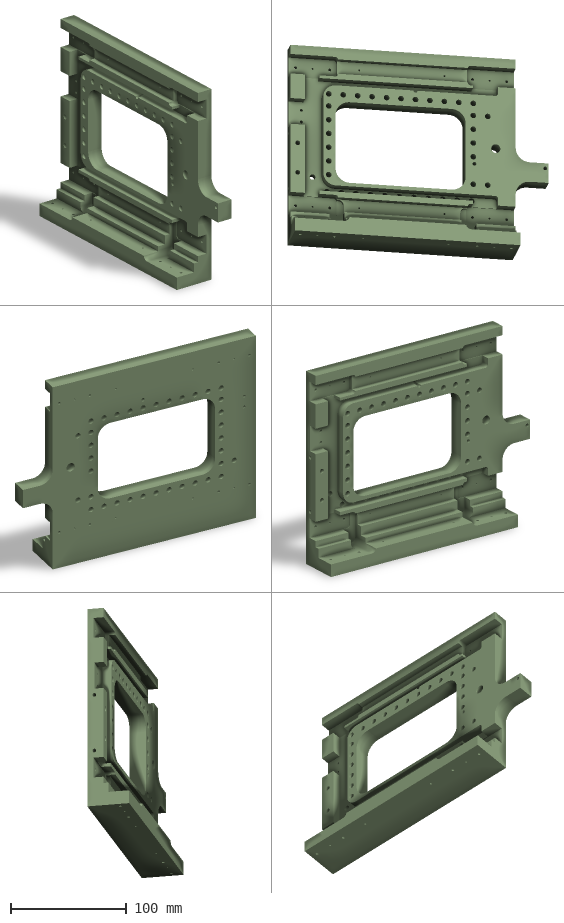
import cadquery as cq
import math


overall_length = 227.0
plate_length = 198.0
plate_height = 180.0
overall_depth = 37.25
plate_thickness = 14.5
plate_front = overall_depth - plate_thickness
middle_x = plate_length / 2

tab_bottom = 68.0
tab_top = 86.0
tab_corner_radius = 12.5

flange_thickness = 15.5
step_top = 20.25
step_front = 15.5

rail_spacing = 127.5
lower_rail_z = 35.0
rail_heights = (lower_rail_z, lower_rail_z + rail_spacing)
groove_rise = 0.25
frame_middle_z = 99.0
groove_width = 13.25
groove_depth = 5.25
pad_width = 18.0
pad_depth = 9.0
pad_length = 42.0
pad_corner_radius = 2.5
pad_step = pad_depth - groove_depth

flange_pad_top = flange_thickness - pad_step
flange_pad_back = 18.5
flange_hole_y = flange_pad_back / 2

slot_inner_edge = 47.75
slot_width = 13.25
slot_depth = 8.25
slot_top = 41.5
slot_radius = 4.5

pad_hole_offsets = (62.75, 92.75)
small_hole_offsets = (37.5, 77.75)
pad_hole_diameter = 2.5
small_hole_diameter = 1.6

recess_depth = 8.25
recess_half_height = rail_spacing / 2
recess_right = 182.5
recess_corner_radius = 2.5
frame_left = 29.0
frame_half_height = 46.25
frame_corner_radius = 11.0
strip_left = 25.75
strip_right = 160.5
strip_half_height = 52.0
block_width = 13.0
block_gap_bottom = 107.0
block_gap_top = 130.75

window_left = 39.75
window_right = 154.0
window_bottom = 56.0
window_top = 130.5
window_radius = 12.5

pitch = 12.7
grid_x = 33.75
grid_z = 49.6
columns = 11
top_row_z = 137.0
grid_diameter = 5.0
left_column_rows = (1, 2, 3, 4, 5, 6)
right_column_rows = (1, 3, 4, 5, 6)
extra_positions = ((-1, 1), (columns, 1), (columns, 6))

notch_column = 6
notch_hole = (grid_x + notch_column * pitch, 145.0)
notch_hole_diameter = 3.3
large_hole = (180.5, 96.5)
large_hole_diameter = 8.0
gap_holes = ((11.25, 112.5), (11.25, 123.25))
gap_hole_diameter = 2.5

block_holes = ((6.5, 62.5), (6.5, 89.75))
block_hole_diameter = 4.2
block_hole_depth = 9.0
dowel_holes = ((161.75, 81.25), (224.0, 81.25))
dowel_hole_diameter = 3.3
dowel_hole_depth = 8.0
side_hole_heights = (50.5, 101.25)
side_hole_y = 31.0
side_hole_diameter = 3.3
side_hole_depth = 10.0
drill_half_angle = math.radians(118 / 2)


def box(x0, x1, y0, y1, z0, z1):
    return cq.Workplane("XY").box(x1 - x0, y1 - y0, z1 - z0, centered=False).translate((x0, y0, z0))


def mirror_x(shape):
    """Copy of a shape mirrored about the middle of the plate length."""
    return shape.mirror("YZ", (middle_x, 0, 0))


def drill_through(points, diameter):
    """Cutters through the plate, along Y, at (x, z) points."""
    plane = cq.Workplane("XZ", origin=(0, overall_depth, 0))
    return plane.pushPoints(points).circle(diameter / 2).extrude(overall_depth)


def drill_blind(position, direction, diameter, depth):
    """Cutter for a blind hole that ends in a drill point."""
    radius = diameter / 2
    tip = radius / math.tan(drill_half_angle)
    start = cq.Vector(*position)
    way = cq.Vector(*direction)
    shank = cq.Solid.makeCylinder(radius, depth, start, way)
    point = cq.Solid.makeCone(radius, 0, tip, start + way * depth, way)
    return cq.Workplane(shank).union(cq.Workplane(point))


def fillet_corners(shape, x, z_low, z_high, radius):
    """Round the corner edges that run along Y at x, between two heights."""
    margin = 0.5
    region = cq.selectors.BoxSelector(
        (x - margin, 0, z_low - margin),
        (x + margin, overall_depth, z_high + margin),
    )
    return shape.edges("|Y").edges(region).fillet(radius)


def make_body():
    plate = box(0, plate_length, plate_front, overall_depth, 0, plate_height)
    tab = box(plate_length, overall_length, plate_front, overall_depth, tab_bottom, tab_top)
    body = fillet_corners(plate.union(tab), plate_length, tab_bottom, tab_top, tab_corner_radius)
    flange = box(0, plate_length, 0, overall_depth, 0, flange_thickness)
    step = box(0, plate_length, step_front, overall_depth, 0, step_top)
    return body.union(flange).union(step)


def make_recess():
    """Recess around the frame, with the two end blocks and rail strips left standing."""
    floor = plate_front + recess_depth
    low = frame_middle_z - recess_half_height
    high = frame_middle_z + recess_half_height
    recess = box(0, recess_right, plate_front, floor, low, high)
    frame_bottom = frame_middle_z - frame_half_height
    frame_top = frame_middle_z + frame_half_height
    frame = box(frame_left, plate_length, plate_front, floor, frame_bottom, frame_top)
    frame = frame.edges("|Y and <X").fillet(frame_corner_radius)
    recess = recess.cut(frame)
    recess = fillet_corners(recess, recess_right, frame_bottom, frame_top, recess_corner_radius)
    recess = recess.cut(box(0, block_width, plate_front, floor, low, block_gap_bottom))
    recess = recess.cut(box(0, block_width, plate_front, floor, block_gap_top, high))
    upper = frame_middle_z + strip_half_height
    lower = frame_middle_z - strip_half_height
    recess = recess.cut(box(strip_left, strip_right, plate_front, floor, upper, high))
    return recess.cut(box(strip_left, strip_right, plate_front, floor, low, lower))


def make_rail_seat(z):
    """Rail groove along the plate with a deeper pad at each end."""
    half_groove = groove_width / 2
    half_pad = pad_width / 2
    groove_z = z + groove_rise
    groove_floor = plate_front + groove_depth
    pad_floor = plate_front + pad_depth
    groove = box(0, plate_length, plate_front, groove_floor, groove_z - half_groove, groove_z + half_groove)
    pad = box(0, pad_length, plate_front, pad_floor, z - half_pad, z + half_pad)
    pad = pad.edges("|Y and >X").fillet(pad_corner_radius)
    return groove.union(pad).union(mirror_x(pad))


def make_flange_seat():
    """End pads on the flange and the upright slots that run into them."""
    pad = box(0, slot_inner_edge, 0, flange_pad_back, flange_pad_top, step_top)
    pad = pad.edges("|Y and >X and <Z").fillet(slot_radius)
    slot_outer_edge = slot_inner_edge - slot_width
    slot_floor = plate_front + slot_depth
    slot = box(slot_outer_edge, slot_inner_edge, 0, slot_floor, flange_pad_top, slot_top)
    slot = slot.edges("|Y").fillet(slot_radius)
    seat = pad.union(slot)
    return seat.union(mirror_x(seat))


def make_window():
    window = box(window_left, window_right, plate_front, overall_depth, window_bottom, window_top)
    return window.edges("|Y").fillet(window_radius)


def mirrored_positions(offsets):
    return [middle_x + side * offset for offset in offsets for side in (-1, 1)]


def make_rail_holes(offsets, diameter):
    """One size of hole through the two rail seats and through the flange."""
    positions = mirrored_positions(offsets)
    seat_holes = drill_through([(x, z) for x in positions for z in rail_heights], diameter)
    flange_points = [(x, flange_hole_y) for x in positions]
    flange_holes = cq.Workplane("XY").pushPoints(flange_points).circle(diameter / 2).extrude(flange_thickness)
    return seat_holes.union(flange_holes)


def make_grid_holes():
    last = columns - 1
    points = [(grid_x + i * pitch, z) for i in range(columns) for z in (grid_z, top_row_z)]
    places = [(0, row) for row in left_column_rows]
    places += [(last, row) for row in right_column_rows]
    places += extra_positions
    points += [(grid_x + column * pitch, grid_z + row * pitch) for column, row in places]
    return drill_through(points, grid_diameter)


result = make_body()
result = result.cut(make_recess())
for rail_z in rail_heights:
    result = result.cut(make_rail_seat(rail_z))
result = result.cut(make_flange_seat())
result = result.cut(make_window())
result = result.cut(make_rail_holes(pad_hole_offsets, pad_hole_diameter))
result = result.cut(make_rail_holes(small_hole_offsets, small_hole_diameter))
result = result.cut(make_grid_holes())
result = result.cut(drill_through([notch_hole], notch_hole_diameter))
result = result.cut(drill_through([large_hole], large_hole_diameter))
result = result.cut(drill_through(gap_holes, gap_hole_diameter))
for x, z in block_holes:
    result = result.cut(drill_blind((x, plate_front, z), (0, 1, 0), block_hole_diameter, block_hole_depth))
for x, z in dowel_holes:
    result = result.cut(drill_blind((x, plate_front, z), (0, 1, 0), dowel_hole_diameter, dowel_hole_depth))
for z in side_hole_heights:
    result = result.cut(drill_blind((0, side_hole_y, z), (1, 0, 0), side_hole_diameter, side_hole_depth))